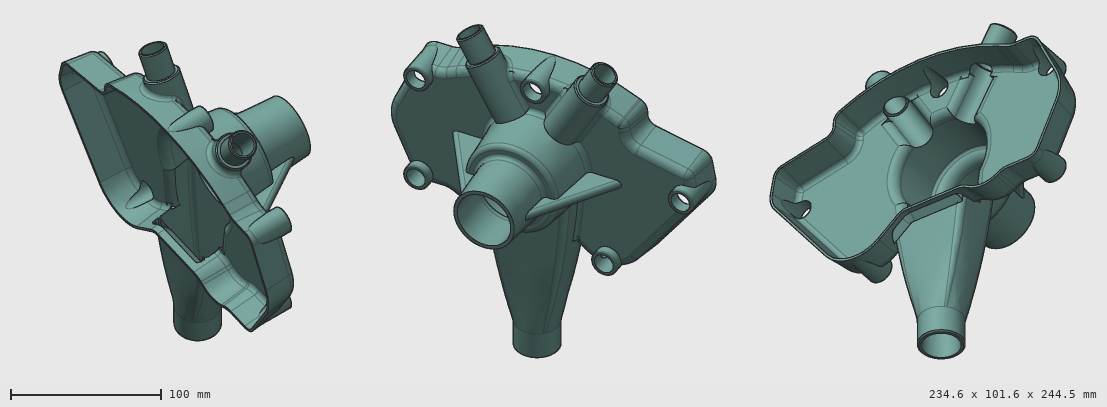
import cadquery as cq
import math


RIM_TOP = 69.5
CROWN_RADIUS = 147.0
CROWN_ANGLE = 25.5
FOOT_Z = -51.0
SHOULDER_Z = 50.4
DRAFT = 8.0
COVER_DEPTH = 25.4
COVER_ROUND = 6.0
WALL = 1.8
PLATE = 2.4
CAVITY_DEPTH = COVER_DEPTH - PLATE
CAVITY_ROUND = 4.0
PLATE_FLARE = 3.5
FLOOR_FLARE = 6.5

BOLT_POINTS = [(0, 59.9), (87.1, 40.5), (87.1, -40.5), (-53.3, -63.4), (-110.5, 6.6)]
BOLT_HOLE_RADIUS = 7.0
BOSS_RADIUS = 9.4
BOSS_TOP = 32.0
BOSS_EDGE_ROUND = 0.8

HUB_BASE_RADIUS = 38.0
HUB_DRUM_RADIUS = 34.6
HUB_DRUM_TOP = 63.8
HUB_DRUM_ROUND = 3.6
NECK_BASE_RADIUS = 25.2
NECK_BASE_FLARE = 3.0
NECK_TOP_RADIUS = 22.6
HUB_TOP = 101.6
BORE_RADIUS = 20.0
BORE_THROAT_RADIUS = 22.0
HUB_WALL = 2.5
HUB_ROOF = 3.4
BORE_ENTRY_ROUND = 8.0
HUB_CAVITY_ROUND = 1.8

PORT_Y = 25.4
NOZZLE_TILT = 30.0
NOZZLE_LENGTH = 101.2
NOZZLE_RADIUS = 9.75
NOZZLE_BORE_RADIUS = 7.8
NOZZLE_EDGE = 0.8
COLLAR_START = 32.0
COLLAR_END = 81.9
COLLAR_RADIUS = 12.7
COLLAR_EDGE = 0.9
CHANNEL_RADIUS = 9.6
CHANNEL_LENGTH = 74.0
CHANNEL_FLARE_LENGTH = 66.0

RIB_THICKNESS = 6.4
RIB_EDGE_ROUND = 3.19
RIB_TOP = (23.5, 88.0)
RIB_FOOT = (63.3, 25.0)

SPOUT_SECTIONS = [(-12, 32.5, 9.0, 45.0), (-55, 28.3, 9.0, 43.1)]
SPOUT_CORNER = 4.5
SPOUT_END = -152.4
SPOUT_RADIUS = 15.9
SPOUT_TUBE_START = -132.0
SPOUT_CORNER_ARC = 6.0
SPOUT_WALL = 2.6
SPOUT_EDGE = 1.0
SPOUT_FLARE_TOP = -15.0
SPOUT_FLARE_BOTTOM = {-1: -56.0, 1: -45.0}
RIM_GUSSET = 4.5
RIM_GUSSET_INSIDE = 6.0


def rounded_outline(corners, inset, depth):
    """Closed wire in the plane Y = depth, moved inward by inset from (x, z, radius) corners.

    The corners run clockwise seen from -Y. Each is rounded by an arc whose centre stays put,
    so outward corners tighten and inward corners widen as the inset grows.
    """
    arcs = []
    for i, (x, z, radius) in enumerate(corners):
        here = cq.Vector(x, z)
        before = (cq.Vector(*corners[i - 1][:2]) - here).normalized()
        after = (cq.Vector(*corners[(i + 1) % len(corners)][:2]) - here).normalized()
        half_angle = before.getAngle(after) / 2
        reach = radius / math.tan(half_angle)
        inward = (before + after).normalized()
        centre = here + inward * (radius / math.sin(half_angle))
        is_outward_corner = before.cross(after).z > 0
        scale = 1 - inset / radius if is_outward_corner else 1 + inset / radius
        points = (here + before * reach, centre - inward * radius, here + after * reach)
        moved = [centre + (point - centre) * scale for point in points]
        arcs.append([cq.Vector(point.x, depth, point.y) for point in moved])
    edges = []
    for i, (start, middle, end) in enumerate(arcs):
        edges.append(cq.Edge.makeLine(arcs[i - 1][2], start))
        edges.append(cq.Edge.makeThreePointArc(start, middle, end))
    return cq.Wire.assembleEdges(edges)


def cover_corners():
    slope = math.tan(math.radians(CROWN_ANGLE))
    apex = RIM_TOP - CROWN_RADIUS + CROWN_RADIUS / math.cos(math.radians(CROWN_ANGLE))
    right_notch = (apex - SHOULDER_Z) / slope
    left_step = 69.1
    return [
        (0, apex, CROWN_RADIUS),
        (right_notch, SHOULDER_Z, 14),
        (93.6, SHOULDER_Z, 10.1),
        (117.1, 0, 30),
        (93.6, FOOT_Z, 10.1),
        (67.8, FOOT_Z, 14),
        (50.9, -60.7, 23),
        (34, FOOT_Z, 14),
        (-13.6, FOOT_Z, 10),
        (-57.2, -86.6, 30.5),
        (-121.7, 1.5, 18),
        (-116.7, 28.1, 9),
        (-70, 38.1, 7.5),
        (-left_step, apex - slope * left_step, 9),
    ]


def drafted_block(inset, depth, end_round):
    """Block inside the cover outline, narrowing with the draft and rounded at its far end."""
    corners = cover_corners()
    rim = rounded_outline(corners, inset, 0)
    far_end = rounded_outline(corners, inset + depth * math.tan(math.radians(DRAFT)), depth)
    block = cq.Workplane(cq.Solid.makeLoft([rim, far_end], True))
    return block.faces(">Y").edges().fillet(end_round)


def cover_body():
    return drafted_block(0, COVER_DEPTH, COVER_ROUND)


def cover_cavity():
    return drafted_block(WALL, CAVITY_DEPTH, CAVITY_ROUND)


def disc_along_y(points, radius, depth):
    return cq.Workplane("XZ").pushPoints(points).circle(radius).extrude(-depth)


def bosses():
    return disc_along_y(BOLT_POINTS, BOSS_RADIUS, BOSS_TOP).faces(">Y").edges().fillet(BOSS_EDGE_ROUND)


def hub_outside():
    """Drum and neck, with the drum flared into the plate."""
    flare_side = 1 - math.sqrt(0.5)
    plate_y = COVER_DEPTH
    shoulder_y = HUB_DRUM_TOP
    neck_foot_y = HUB_DRUM_TOP + NECK_BASE_FLARE
    profile = (
        cq.Workplane("XY")
        .moveTo(0, CAVITY_DEPTH)
        .lineTo(HUB_BASE_RADIUS + PLATE_FLARE, CAVITY_DEPTH)
        .lineTo(HUB_BASE_RADIUS + PLATE_FLARE, plate_y)
        .threePointArc(
            (HUB_BASE_RADIUS + PLATE_FLARE * flare_side, plate_y + PLATE_FLARE * flare_side),
            (HUB_BASE_RADIUS, plate_y + PLATE_FLARE),
        )
        .lineTo(HUB_DRUM_RADIUS, shoulder_y - HUB_DRUM_ROUND)
        .threePointArc(
            (HUB_DRUM_RADIUS - HUB_DRUM_ROUND * flare_side, shoulder_y - HUB_DRUM_ROUND * flare_side),
            (HUB_DRUM_RADIUS - HUB_DRUM_ROUND, shoulder_y),
        )
        .lineTo(NECK_BASE_RADIUS + NECK_BASE_FLARE, shoulder_y)
        .threePointArc(
            (NECK_BASE_RADIUS + NECK_BASE_FLARE * flare_side, shoulder_y + NECK_BASE_FLARE * flare_side),
            (NECK_BASE_RADIUS, neck_foot_y),
        )
        .lineTo(NECK_TOP_RADIUS, HUB_TOP)
        .lineTo(0, HUB_TOP)
        .close()
    )
    return profile.revolve(360, (0, 0), (0, 1))


def hub_inside():
    """Flared drum cavity and the bore through the neck, with a rounded bore entry."""
    flare_side = 1 - math.sqrt(0.5)
    floor_y = CAVITY_DEPTH
    roof_y = HUB_DRUM_TOP - HUB_ROOF
    base_radius = HUB_BASE_RADIUS - HUB_WALL
    roof_radius = HUB_DRUM_RADIUS - HUB_WALL
    entry_radius = BORE_THROAT_RADIUS + BORE_ENTRY_ROUND
    profile = (
        cq.Workplane("XY")
        .lineTo(base_radius + FLOOR_FLARE, 0)
        .lineTo(base_radius + FLOOR_FLARE, floor_y)
        .threePointArc(
            (base_radius + FLOOR_FLARE * flare_side, floor_y + FLOOR_FLARE * flare_side),
            (base_radius, floor_y + FLOOR_FLARE),
        )
        .lineTo(roof_radius, roof_y - HUB_CAVITY_ROUND)
        .threePointArc(
            (roof_radius - HUB_CAVITY_ROUND * flare_side, roof_y - HUB_CAVITY_ROUND * flare_side),
            (roof_radius - HUB_CAVITY_ROUND, roof_y),
        )
        .lineTo(entry_radius, roof_y)
        .threePointArc(
            (BORE_THROAT_RADIUS + BORE_ENTRY_ROUND * flare_side, roof_y + BORE_ENTRY_ROUND * flare_side),
            (BORE_THROAT_RADIUS, roof_y + BORE_ENTRY_ROUND),
        )
        .lineTo(BORE_RADIUS, HUB_TOP)
        .lineTo(0, HUB_TOP)
        .close()
    )
    return profile.revolve(360, (0, 0), (0, 1))


def nozzle_plane(side):
    """Plane across a nozzle axis at the hub; its local y runs along Y. Side is -1 or +1."""
    lean = math.radians(side * NOZZLE_TILT)
    return cq.Workplane(cq.Plane(
        origin=(0, PORT_Y, 0),
        xDir=(math.cos(lean), 0, -math.sin(lean)),
        normal=(math.sin(lean), 0, math.cos(lean)),
    ))


def channel_flare(side):
    """Strip that rounds off both edges between a nozzle channel and the cavity floor."""
    floor = CAVITY_DEPTH - PORT_Y
    centre_y = floor + FLOOR_FLARE
    centre_x = math.sqrt((CHANNEL_RADIUS + FLOOR_FLARE) ** 2 - centre_y ** 2)
    touch = CHANNEL_RADIUS / (CHANNEL_RADIUS + FLOOR_FLARE)
    middle_angle = (math.atan2(centre_y, centre_x) - 1.5 * math.pi) / 2
    middle_x = centre_x + FLOOR_FLARE * math.cos(middle_angle)
    middle_y = centre_y + FLOOR_FLARE * math.sin(middle_angle)
    profile = (
        nozzle_plane(side)
        .moveTo(-centre_x, floor)
        .threePointArc((-middle_x, middle_y), (-centre_x * touch, centre_y * touch))
        .lineTo(centre_x * touch, centre_y * touch)
        .threePointArc((middle_x, middle_y), (centre_x, floor))
        .close()
    )
    return profile.extrude(CHANNEL_FLARE_LENGTH)


def add_collar(body, side):
    """Add one nozzle collar to the bare cover and round the seam where they meet."""
    foot = nozzle_plane(side).workplane(offset=COLLAR_START)
    collar = foot.circle(COLLAR_RADIUS).extrude(COLLAR_END - COLLAR_START)
    body = body.union(collar.faces(">Z").edges().chamfer(COLLAR_EDGE))
    axis_plane = nozzle_plane(side).plane
    tolerance = 0.01

    def is_seam(edge):
        middle = edge.positionAt(0.5)
        local = axis_plane.toLocalCoords(middle)
        on_collar = abs(math.hypot(local.x, local.y) - COLLAR_RADIUS) < tolerance
        return on_collar and edge.geomType() != "CIRCLE" and middle.y < COVER_DEPTH + tolerance

    seam = [edge for edge in body.edges().vals() if is_seam(edge)]
    return body.newObject(seam).fillet(PLATE_FLARE)


def nozzle_pipe(side):
    pipe = nozzle_plane(side).circle(NOZZLE_RADIUS).extrude(NOZZLE_LENGTH)
    return pipe.faces(">Z").edges().chamfer(NOZZLE_EDGE)


def nozzle_inside(side):
    bore = nozzle_plane(side).circle(NOZZLE_BORE_RADIUS).extrude(NOZZLE_LENGTH)
    channel = nozzle_plane(side).circle(CHANNEL_RADIUS).extrude(CHANNEL_LENGTH)
    return bore.union(channel).union(channel_flare(side))


def ribs():
    """Web through the hub axis that stands out as a sloping rib on either side."""
    web = (
        cq.Workplane("XY", origin=(0, 0, -RIB_THICKNESS / 2))
        .polyline([(-RIB_FOOT[0], RIB_FOOT[1]), (-RIB_TOP[0], RIB_TOP[1]), RIB_TOP, RIB_FOOT])
        .close()
        .extrude(RIB_THICKNESS)
    )
    return web.edges("not (|X or |Z)").fillet(RIB_EDGE_ROUND)


def rectangle_section(half_width, half_depth, corner, centre):
    outline = cq.Workplane("XY", origin=centre).moveTo(half_width - corner, half_depth)
    for sign_x, sign_y in ((1, 1), (1, -1), (-1, -1), (-1, 1)):
        centre_x = sign_x * (half_width - corner)
        centre_y = sign_y * (half_depth - corner)
        diagonal = corner * math.sqrt(0.5)
        across = (centre_x, sign_y * half_depth)
        along = (sign_x * half_width, centre_y)
        start, end = (across, along) if sign_x == sign_y else (along, across)
        middle = (centre_x + sign_x * diagonal, centre_y + sign_y * diagonal)
        if (sign_x, sign_y) != (1, 1):
            outline = outline.lineTo(*start)
        outline = outline.threePointArc(middle, end)
    return outline.close().val()


def round_section(radius, centre):
    """Circle split into eight arcs that match the flats and corners of a rectangle section."""
    def point(degrees):
        return (radius * math.sin(math.radians(degrees)), radius * math.cos(math.radians(degrees)))

    half_corner = SPOUT_CORNER_ARC / 2
    start = 45 - half_corner
    outline = cq.Workplane("XY", origin=centre).moveTo(*point(start))
    for quarter in range(4):
        corner_angle = 45 + 90 * quarter
        outline = outline.threePointArc(point(corner_angle), point(corner_angle + half_corner))
        outline = outline.threePointArc(point(corner_angle + 45), point(corner_angle + 90 - half_corner))
    return outline.close().val()


def spout(inset):
    """Tapered duct and the round tube it turns into, both moved inward by inset."""
    sections = [
        rectangle_section(
            half_width - inset,
            (far_y - near_y) / 2 - inset,
            SPOUT_CORNER - inset / 2,
            (0, (near_y + far_y) / 2, z),
        )
        for z, half_width, near_y, far_y in SPOUT_SECTIONS
    ]
    sections.append(round_section(SPOUT_RADIUS - inset, (0, PORT_Y, SPOUT_TUBE_START)))
    duct = cq.Workplane(cq.Solid.makeLoft(sections))
    tube = (
        cq.Workplane("XY", origin=(0, PORT_Y, SPOUT_END))
        .circle(SPOUT_RADIUS - inset)
        .extrude(SPOUT_TUBE_START - SPOUT_END)
    )
    return duct, tube


def spout_outside():
    duct, tube = spout(0)
    return duct.union(tube.faces("<Z").edges().chamfer(SPOUT_EDGE))


def spout_inside():
    duct, tube = spout(SPOUT_WALL)
    return duct.union(tube)


def spout_flare(side, inset, radius, plate_y):
    """Strip with a hollow round face between one side of the duct and a plate at plate_y."""
    (top_z, top_width, *_), (bottom_z, bottom_width, *_) = SPOUT_SECTIONS
    taper = (top_width - bottom_width) / (top_z - bottom_z)
    wires = []
    for z in (SPOUT_FLARE_TOP, SPOUT_FLARE_BOTTOM[side]):
        wall_x = top_width + taper * (z - top_z) - inset
        back_x = side * (wall_x - 1)
        toe_x = side * (wall_x + radius)
        hollow = radius * (1 - math.sqrt(0.5))
        wire = (
            cq.Workplane("XY", origin=(0, plate_y, z))
            .moveTo(back_x, 0)
            .lineTo(toe_x, 0)
            .threePointArc((side * (wall_x + hollow), hollow), (side * wall_x, radius))
            .lineTo(back_x, radius)
            .close()
        )
        wires.append(wire.val())
    return cq.Workplane(cq.Solid.makeLoft(wires, True))


def spout_gusset(rim_inset, duct_inset, size):
    """Sloping band that leads the rim wall out onto the front wall of the spout."""
    front_y = SPOUT_SECTIONS[0][2] + duct_inset
    start_y = front_y - size
    corners = cover_corners()
    wall_inset = rim_inset + start_y * math.tan(math.radians(DRAFT))
    band = cq.Solid.makeLoft([
        rounded_outline(corners, wall_inset, start_y),
        rounded_outline(corners, wall_inset - size, front_y),
    ], True)
    duct, _ = spout(duct_inset)
    return cq.Workplane(band).intersect(duct.translate((0, -size, 0)))


def assemble():
    body = cover_body()
    cavity = cover_cavity().union(hub_inside()).union(spout_inside())
    cavity = cavity.union(spout_gusset(WALL, SPOUT_WALL, RIM_GUSSET_INSIDE))
    for side in (-1, 1):
        body = add_collar(body, side)
    body = body.union(bosses()).union(hub_outside()).union(ribs())
    body = body.union(spout_outside()).union(spout_gusset(0, 0, RIM_GUSSET))
    for side in (-1, 1):
        body = body.union(nozzle_pipe(side)).union(spout_flare(side, 0, PLATE_FLARE, COVER_DEPTH))
        cavity = cavity.union(nozzle_inside(side))
        cavity = cavity.union(spout_flare(side, SPOUT_WALL, FLOOR_FLARE, CAVITY_DEPTH))
    bolt_holes = disc_along_y(BOLT_POINTS, BOLT_HOLE_RADIUS, BOSS_TOP)
    return body.cut(cavity).cut(bolt_holes)


result = assemble()